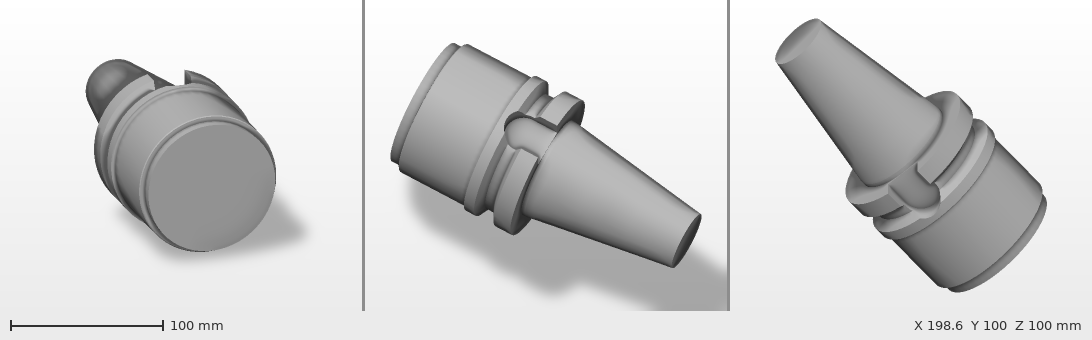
import cadquery as cq

overall_length = 198.6
taper_length = 101.9
collar_length = 3.0
front_rim_width = 12.7
groove_floor_width = 6.4
groove_flank_width = 4.2
flange_length = 35.0
nose_length = 8.0

taper_small_diameter = 40.1
gauge_diameter = 70.0
flange_diameter = 100.0
groove_diameter = 85.0
body_diameter = 95.1
nose_diameter = 88.0

root_fillet = 1.8
body_chamfer = 0.5
relief_width = 0.5
relief_depth = 0.5

slot_width = 25.6
slot_floor_height = 35.4
slot_end_x = 135.9

flange_start = taper_length + collar_length
groove_start = flange_start + front_rim_width
groove_floor_start = groove_start + groove_flank_width
groove_floor_end = groove_floor_start + groove_floor_width
groove_end = groove_floor_end + groove_flank_width
flange_end = flange_start + flange_length
body_end = overall_length - nose_length
relief_end = body_end + relief_width

flange_radius = flange_diameter / 2
groove_radius = groove_diameter / 2
body_radius = body_diameter / 2
nose_radius = nose_diameter / 2
relief_radius = nose_radius - relief_depth


def turned_body():
    """Taper, grooved flange, body and nose revolved about the X axis."""
    profile = (
        cq.Workplane("XY")
        .moveTo(0, 0)
        .lineTo(0, taper_small_diameter / 2)
        .lineTo(taper_length, gauge_diameter / 2)
        .lineTo(flange_start, gauge_diameter / 2)
        .lineTo(flange_start, flange_radius)
        .lineTo(groove_start, flange_radius)
        .lineTo(groove_floor_start, groove_radius)
        .lineTo(groove_floor_end, groove_radius)
        .lineTo(groove_end, flange_radius)
        .lineTo(flange_end, flange_radius)
        .lineTo(flange_end, body_radius + root_fillet)
        .radiusArc((flange_end + root_fillet, body_radius), -root_fillet)
        .lineTo(body_end - body_chamfer, body_radius)
        .lineTo(body_end, body_radius - body_chamfer)
        .lineTo(body_end, relief_radius)
        .lineTo(relief_end, relief_radius)
        .lineTo(relief_end, nose_radius)
        .lineTo(overall_length, nose_radius)
        .lineTo(overall_length, 0)
        .close()
    )
    return profile.revolve(360, (0, 0, 0), (1, 0, 0))


def drive_slot(side):
    """Round-ended slot cutter, above (side = 1) or below (side = -1) the axis."""
    half_width = slot_width / 2
    arc_start = slot_end_x - half_width
    return (
        cq.Workplane("XY", origin=(0, 0, side * slot_floor_height))
        .moveTo(flange_start, -half_width)
        .lineTo(arc_start, -half_width)
        .threePointArc((slot_end_x, 0), (arc_start, half_width))
        .lineTo(flange_start, half_width)
        .close()
        .extrude(side * flange_radius)
    )


result = turned_body()
for side in (1, -1):
    result = result.cut(drive_slot(side))